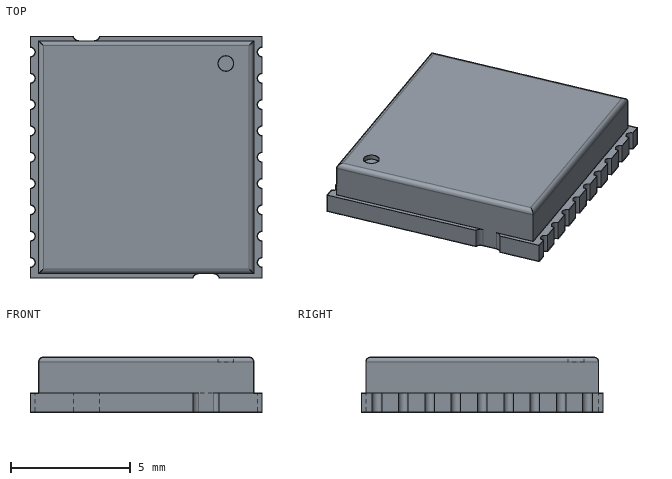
import cadquery as cq
import math

board_x = 9.7
board_y = 10.1
board_z = 0.8

cover_x = 9.0
cover_y = 9.74
total_z = 2.31
cover_fillet = 0.2

castellation_radius = 0.2
castellation_pitch = 1.1
castellation_count = 9

notch_offset_x = 2.5
notch_floor = 0.62
notch_corner_radius = 0.25
notch_depth = (board_y - cover_y) / 2

mark_diameter = 0.65
mark_depth = 0.2
mark_x = 3.33
mark_y = 3.92


def make_board():
    return cq.Workplane("XY").box(board_x, board_y, board_z, centered=(True, True, False))


def make_cover():
    cover = cq.Workplane("XY").workplane(offset=board_z).box(
        cover_x, cover_y, total_z - board_z, centered=(True, True, False)
    )
    return cover.faces(">Z").edges().fillet(cover_fillet)


def castellation_cutter():
    first_y = -castellation_pitch * (castellation_count - 1) / 2
    centers = [
        (side * board_x / 2, first_y + row * castellation_pitch)
        for side in (-1, 1)
        for row in range(castellation_count)
    ]
    return cq.Workplane("XY").pushPoints(centers).circle(castellation_radius).extrude(board_z)


def front_notch_cutter():
    """Notch whose corner arcs run tangent into its flat floor."""
    edge_y = -board_y / 2
    floor_y = edge_y + notch_depth
    half_floor = notch_floor / 2
    arc_center_y = floor_y - notch_corner_radius

    def corner_point(angle):
        x = half_floor + notch_corner_radius * math.cos(angle)
        y = arc_center_y + notch_corner_radius * math.sin(angle)
        return x, y

    mouth_angle = math.asin((edge_y - arc_center_y) / notch_corner_radius)
    mouth_x, mouth_y = corner_point(mouth_angle)
    middle_x, middle_y = corner_point((mouth_angle + math.pi / 2) / 2)
    return (
        cq.Workplane("XY")
        .moveTo(-mouth_x, mouth_y)
        .lineTo(mouth_x, mouth_y)
        .threePointArc((middle_x, middle_y), (half_floor, floor_y))
        .lineTo(-half_floor, floor_y)
        .threePointArc((-middle_x, middle_y), (-mouth_x, mouth_y))
        .close()
        .extrude(board_z)
        .translate((notch_offset_x, 0, 0))
    )


def mark_cutter():
    return (
        cq.Workplane("XY")
        .workplane(offset=total_z - mark_depth)
        .center(mark_x, mark_y)
        .circle(mark_diameter / 2)
        .extrude(mark_depth)
    )


front_notch = front_notch_cutter()
rear_notch = front_notch.rotate((0, 0, 0), (0, 0, 1), 180)

board = make_board().cut(castellation_cutter()).cut(front_notch).cut(rear_notch)
result = board.union(make_cover()).cut(mark_cutter())